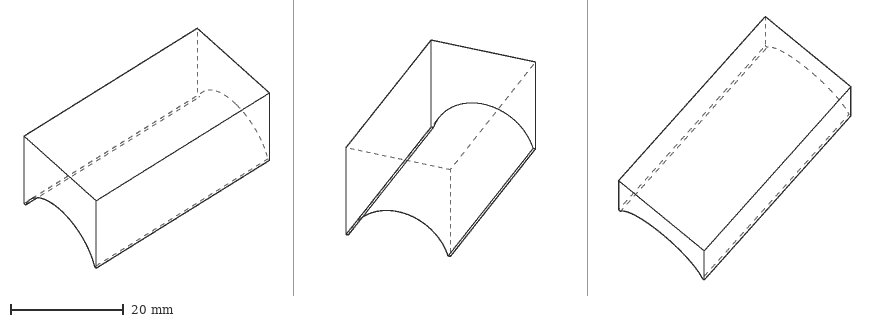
import cadquery as cq

width = 20.0
length = 40.0
height = 18.0

channel_radius = 10.0
channel_depth = 7.0
channel_axis_z = channel_depth - channel_radius


def make_block():
    """Rectangular block standing on Z = 0, centred in X and Y."""
    return cq.Workplane("XY").box(width, length, height, centered=(True, True, False))


def make_channel():
    """Cylinder along Y that cuts the channel through the full length."""
    return (
        cq.Workplane("XZ")
        .center(0, channel_axis_z)
        .circle(channel_radius)
        .extrude(length / 2, both=True)
    )


result = make_block().cut(make_channel())